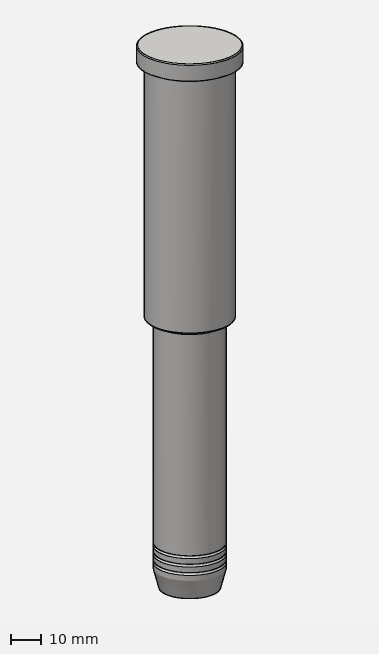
import cadquery as cq

total_length = 191.0
head_diameter = 35.0
head_height = 6.0
head_chamfer = 0.4
body_diameter = 30.0
body_bottom_z = 95.0
body_chamfer = 0.5
undercut_radius = 0.5
pin_diameter = 24.0
relief_depth = 0.5
relief_height = 1.1
oil_groove_radius = 0.48
lowest_groove_z = 9.5
highest_groove_z = 15.5
groove_count = 3
taper_start_z = 7.0
taper_end_diameter = 20.2
tip_fillet = 0.5

head_bottom_z = total_length - head_height
groove_pitch = (highest_groove_z - lowest_groove_z) / (groove_count - 1)


def cylinder(diameter, bottom_z, top_z):
    return cq.Workplane("XY").workplane(offset=bottom_z).circle(diameter / 2).extrude(top_z - bottom_z)


def cone(bottom_diameter, top_diameter, bottom_z, top_z):
    base = cq.Vector(0, 0, bottom_z)
    return cq.Workplane(cq.Solid.makeCone(bottom_diameter / 2, top_diameter / 2, top_z - bottom_z, base))


def round_groove(shaft_diameter, groove_radius, height):
    """Ring with a round section, centred on the shaft surface, that cuts a half-round groove."""
    center = cq.Vector(0, 0, height)
    return cq.Workplane(cq.Solid.makeTorus(shaft_diameter / 2, groove_radius, center))


def make_head():
    return cylinder(head_diameter, head_bottom_z, total_length).faces(">Z").chamfer(head_chamfer)


def make_body():
    sleeve = cylinder(body_diameter, body_bottom_z, head_bottom_z).faces("<Z").chamfer(body_chamfer)
    return sleeve.cut(round_groove(body_diameter, undercut_radius, head_bottom_z - undercut_radius))


def make_pin():
    relief_bottom_z = body_bottom_z - relief_height
    relief = cylinder(pin_diameter - 2 * relief_depth, relief_bottom_z, body_bottom_z)
    pin = cylinder(pin_diameter, taper_start_z, relief_bottom_z).union(relief)
    for index in range(groove_count):
        groove_z = lowest_groove_z + index * groove_pitch
        pin = pin.cut(round_groove(pin_diameter, oil_groove_radius, groove_z))
    return pin


def make_tip():
    return cone(taper_end_diameter, pin_diameter, 0, taper_start_z).faces("<Z").edges().fillet(tip_fillet)


result = make_head().union(make_body()).union(make_pin()).union(make_tip())